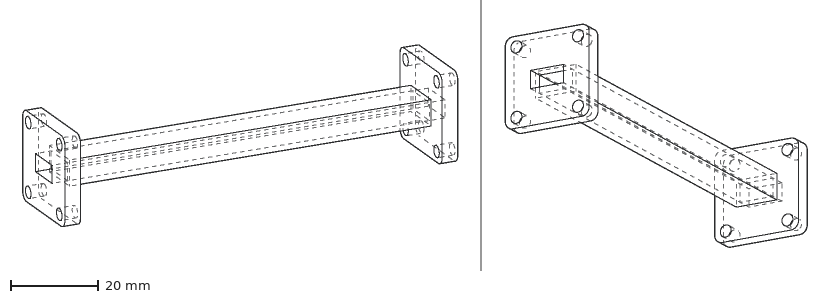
import cadquery as cq

total_length = 100.0

flange_side = 22.2
flange_thickness = 4.0
corner_radius = 2.0

hole_diameter = 2.9
hole_spacing_x = 16.3
hole_spacing_z = 17.0

bore_width = 8.7
bore_height = 4.4
wall = 1.0

tube_length = total_length - 2 * flange_thickness


def block(width, height, start_y, length):
    """Box centred on the Y axis, running from start_y toward +Y."""
    return cq.Workplane("XY").box(width, length, height).translate((0, start_y + length / 2, 0))


def make_flange(start_y):
    """Rounded square plate with four bolt holes and the waveguide bore."""
    plate = block(flange_side, flange_side, start_y, flange_thickness)
    plate = plate.edges("|Y").fillet(corner_radius)
    bolt_holes = (
        cq.Workplane("XZ", origin=(0, start_y, 0))
        .rect(hole_spacing_x, hole_spacing_z, forConstruction=True)
        .vertices()
        .circle(hole_diameter / 2)
        .extrude(-flange_thickness)
    )
    bore = block(bore_width, bore_height, start_y, flange_thickness)
    return plate.cut(bolt_holes).cut(bore)


def make_tube():
    """Rectangular tube spanning the gap between the flanges."""
    outside = block(bore_width + 2 * wall, bore_height + 2 * wall, -tube_length / 2, tube_length)
    bore = block(bore_width, bore_height, -tube_length / 2, tube_length)
    return outside.cut(bore)


tube = make_tube()
flanges = [make_flange(start_y) for start_y in (-total_length / 2, tube_length / 2)]

result = cq.Compound.makeCompound([tube.val(), *[flange.val() for flange in flanges]])